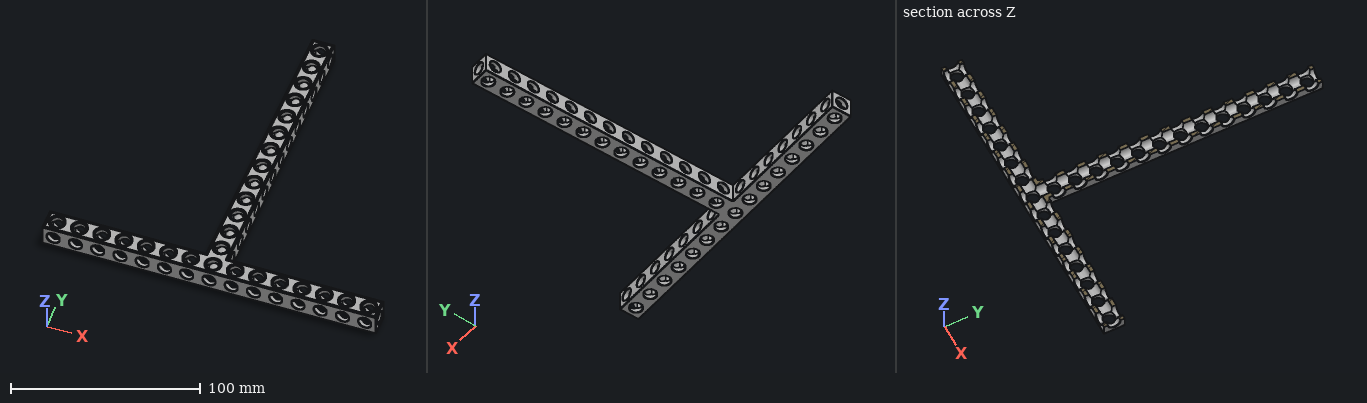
import cadquery as cq

pitch = 12.5
bar_count = 15
stem_count = 13
half_width = pitch / 2
half_bar = bar_count * pitch / 2
stem_end = half_width + stem_count * pitch

chamfer = 0.3
chamfer_angle = 45
hole_diameter = 7.0
mouth_diameter = hole_diameter + 2 * chamfer

rim_wall = 1.1
recess_depth = 0.2
ring_diameter = 9.2
recess_floor = half_width - recess_depth

bar_places = [(i - (bar_count - 1) / 2) * pitch for i in range(bar_count)]
stem_places = [(i + 1) * pitch for i in range(stem_count)]
upright_points = [(x, 0) for x in bar_places] + [(0, y) for y in stem_places]


def tee(inset, bottom, top):
    """T-shaped prism whose outline is moved inward by the inset."""
    half = half_width - inset
    bar_tip = half_bar - inset
    stem_tip = stem_end - inset
    outline = [
        (-bar_tip, -half),
        (bar_tip, -half),
        (bar_tip, half),
        (half, half),
        (half, stem_tip),
        (-half, stem_tip),
        (-half, half),
        (-bar_tip, half),
    ]
    return cq.Workplane("XY").workplane(offset=bottom).polyline(outline).close().extrude(top - bottom)


def circles(plane, points, diameter, height):
    """Circles at the given points of a plane, at a height along its normal."""
    return cq.Workplane(plane).workplane(offset=height).pushPoints(points).circle(diameter / 2)


def cut_holes(body, plane, points, start, end):
    """Cut through holes along the plane's normal, chamfered at both mouths."""
    bores = circles(plane, points, hole_diameter, start).extrude(end - start)
    start_mouths = circles(plane, points, mouth_diameter, start).extrude(chamfer, taper=chamfer_angle)
    end_mouths = circles(plane, points, mouth_diameter, end).extrude(-chamfer, taper=chamfer_angle)
    return body.cut(bores).cut(start_mouths).cut(end_mouths)


def make_body():
    """Chamfered T with the recessed top face and its rings."""
    body = tee(0, -half_width, half_width).edges().chamfer(chamfer)
    recess = tee(rim_wall, recess_floor, half_width)
    rings = circles("XY", upright_points, ring_diameter, recess_floor).extrude(recess_depth)
    return body.cut(recess).union(rings)


result = make_body()

result = cut_holes(result, "XY", upright_points, -half_width, half_width)

bar_side_points = [(x, 0) for x in bar_places if x != 0]
result = cut_holes(result, "XZ", bar_side_points, -half_width, half_width)
result = cut_holes(result, "XZ", [(0, 0)], -stem_end, half_width)

stem_side_points = [(y, 0) for y in stem_places]
result = cut_holes(result, "YZ", stem_side_points, -half_width, half_width)
result = cut_holes(result, "YZ", [(0, 0)], -half_bar, half_bar)